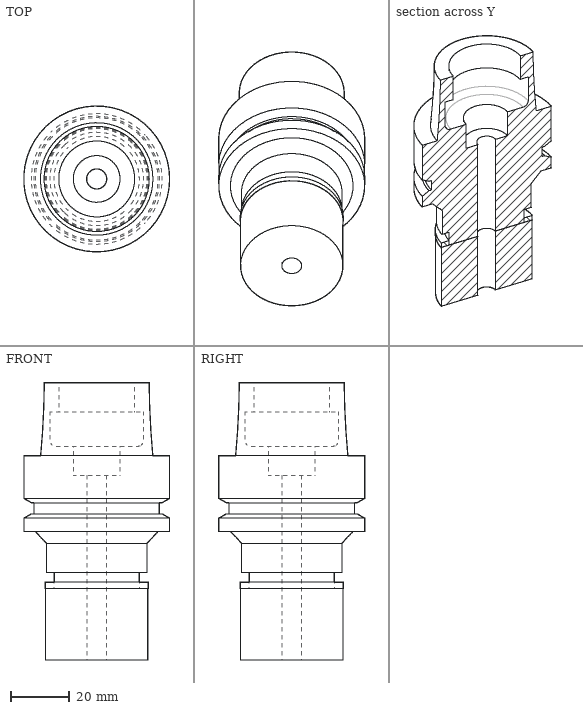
import cadquery as cq

total_height = 95.0
taper_height = 25.0
flange_height = 26.0
flange_top = total_height - taper_height
flange_bottom = flange_top - flange_height
shoulder_cone_bottom = 40.0
shank_bottom = 30.0
collar_top = 26.7
nut_height = 24.6

taper_top_radius = 18.0
taper_middle_radius = 18.36
taper_base_radius = 19.25
flange_radius = 25.0
shoulder_cone_radius = 21.0
shank_radius = 34.5 / 2
neck_radius = 29.2 / 2
collar_radius = 35.3 / 2
nut_radius = 35.1 / 2

groove_center = flange_top - 18.0
groove_width = 3.75
groove_radius = 21.5
groove_flare_radius = 22.4
groove_flare_height = 1.5
groove_top = groove_center + groove_width / 2
groove_bottom = groove_center - groove_width / 2

lip_radius = 13.0
lip_depth = 10.0
undercut_radius = 16.0
undercut_depth = 19.8
cavity_fillet_radius = 2.0
cavity_depth = undercut_depth + cavity_fillet_radius
coolant_bore_radius = 16.0 / 2
coolant_bore_depth = 10.0
through_bore_radius = 6.8 / 2


def turned(outline):
    """Revolve a closed half-section of (radius, height) about the Z axis."""
    return outline.close().revolve(360, (0, 0, 0), (0, 1, 0))


def ring(outer_radius, inner_radius, bottom, top):
    """Plain ring between two heights."""
    return (
        cq.Workplane("XY")
        .workplane(offset=bottom)
        .circle(outer_radius)
        .circle(inner_radius)
        .extrude(top - bottom)
    )


def make_holder():
    """Taper, grooved flange, shank and neck, hollow from the top down."""
    cavity_floor = total_height - cavity_depth
    coolant_bore_floor = cavity_floor - coolant_bore_depth
    outline = (
        cq.Workplane("XZ")
        .moveTo(through_bore_radius, nut_height)
        .lineTo(neck_radius, nut_height)
        .lineTo(neck_radius, shank_bottom)
        .lineTo(shank_radius, shank_bottom)
        .lineTo(shank_radius, shoulder_cone_bottom)
        .lineTo(shoulder_cone_radius, flange_bottom)
        .lineTo(flange_radius, flange_bottom)
        .lineTo(flange_radius, groove_bottom - groove_flare_height)
        .lineTo(groove_flare_radius, groove_bottom)
        .lineTo(groove_radius, groove_bottom)
        .lineTo(groove_radius, groove_top)
        .lineTo(groove_flare_radius, groove_top)
        .lineTo(flange_radius, groove_top + groove_flare_height)
        .lineTo(flange_radius, flange_top)
        .lineTo(taper_base_radius, flange_top)
    )
    taper_middle = (taper_middle_radius, flange_top + taper_height / 2)
    outline = (
        outline.threePointArc(taper_middle, (taper_top_radius, total_height))
        .lineTo(lip_radius, total_height)
        .lineTo(lip_radius, total_height - lip_depth)
        .lineTo(undercut_radius, total_height - lip_depth)
        .lineTo(undercut_radius, total_height - undercut_depth)
        .radiusArc((undercut_radius - cavity_fillet_radius, cavity_floor), cavity_fillet_radius)
        .lineTo(coolant_bore_radius, cavity_floor)
        .lineTo(coolant_bore_radius, coolant_bore_floor)
        .lineTo(through_bore_radius, coolant_bore_floor)
    )
    return turned(outline)


def make_collar():
    """Thin collar around the holder's neck, resting on the nut."""
    return ring(collar_radius, neck_radius, nut_height, collar_top)


def make_nut():
    """Nut below the neck, carrying the through bore to the bottom face."""
    return ring(nut_radius, through_bore_radius, 0, nut_height)


holder = make_holder()
collar = make_collar()
nut = make_nut()

result = cq.Compound.makeCompound([holder.val(), collar.val(), nut.val()])